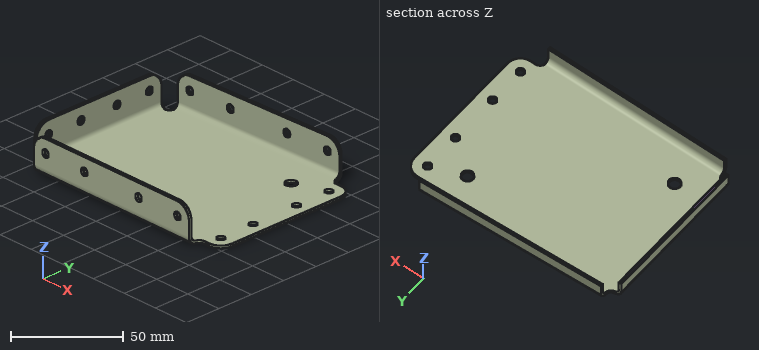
import cadquery as cq
import math

THICKNESS = 1.5
INNER_BEND_RADIUS = 3.0
OUTER_BEND_RADIUS = INNER_BEND_RADIUS + THICKNESS
HEIGHT = 20.0

OVERALL_X = 119.9
OVERALL_Y = 94.43

CORNER_GAP = 6.47
LONG_LENGTH = 100.0
LEFT_LENGTH = 77.2
TAB_LENGTH = 81.7
CORNER_RADIUS = 7.5
RELIEF_RADIUS = 3.0
BACK_TILT = 2.386

SMALL_HOLE = 4.0
LARGE_HOLE = 6.0
EDGE_INSET = 7.5
LONG_PITCH = 25.0
SHORT_PITCH = 20.0
LARGE_HOLE_CENTRES = [(20.0, 20.0), (95.0, 74.0)]

FRONT_END_X = CORNER_GAP + LONG_LENGTH
LEFT_TOP_Y = CORNER_GAP + LEFT_LENGTH
TAB_TOP_Y = CORNER_GAP + TAB_LENGTH

TILT = math.radians(BACK_TILT)
ALONG_X = math.cos(TILT)
ALONG_Y = math.sin(TILT)
OUT_X = -ALONG_Y
OUT_Y = ALONG_X
BACK_RIGHT_X = FRONT_END_X
BACK_RIGHT_Y = OVERALL_Y - OUTER_BEND_RADIUS * OUT_Y
BACK_LEFT_X = BACK_RIGHT_X - LONG_LENGTH * ALONG_X
BACK_LEFT_Y = BACK_RIGHT_Y - LONG_LENGTH * ALONG_Y


def hole_stations(length, pitch):
    """Four hole positions along an edge, symmetric about its middle."""
    return [EDGE_INSET, EDGE_INSET + pitch, length - EDGE_INSET - pitch, length - EDGE_INSET]


def back_end_x(bend_x, bend_y, y):
    """x of the point at y on an end of the back flange, which is square to its bend line."""
    return bend_x + (y - bend_y) * OUT_X / OUT_Y


def make_plan():
    """Plan outline of the bent part as a prism, with the inside corners rounded."""
    front_left = (CORNER_GAP, CORNER_GAP)
    front_right = (FRONT_END_X, CORNER_GAP)
    back_right = (back_end_x(BACK_RIGHT_X, BACK_RIGHT_Y, TAB_TOP_Y), TAB_TOP_Y)
    back_left = (back_end_x(BACK_LEFT_X, BACK_LEFT_Y, LEFT_TOP_Y), LEFT_TOP_Y)
    out_x = OUTER_BEND_RADIUS * OUT_X
    out_y = OUTER_BEND_RADIUS * OUT_Y
    outline = [
        (CORNER_GAP, 0),
        (FRONT_END_X, 0),
        front_right,
        (OVERALL_X, CORNER_GAP),
        (OVERALL_X, TAB_TOP_Y),
        back_right,
        (BACK_RIGHT_X + out_x, BACK_RIGHT_Y + out_y),
        (BACK_LEFT_X + out_x, BACK_LEFT_Y + out_y),
        back_left,
        (0, LEFT_TOP_Y),
        (0, CORNER_GAP),
        front_left,
    ]
    plan = cq.Workplane("XY").polyline(outline).close().extrude(HEIGHT)
    plan = plan.edges("|Z and >X").fillet(CORNER_RADIUS)
    for x, y in (front_left, front_right, back_right, back_left):
        corner = cq.selectors.NearestToPointSelector((x, y, HEIGHT / 2))
        plan = plan.edges(corner).fillet(RELIEF_RADIUS)
    return plan


def make_base():
    """Flat base between the bend lines, reaching to the right edge of the tab."""
    run_to_edge = (OVERALL_X - BACK_LEFT_X) / ALONG_X
    run_to_left = (BACK_LEFT_X - OUTER_BEND_RADIUS) / ALONG_X
    outline = [
        (OUTER_BEND_RADIUS, OUTER_BEND_RADIUS),
        (OVERALL_X, OUTER_BEND_RADIUS),
        (OVERALL_X, BACK_LEFT_Y + run_to_edge * ALONG_Y),
        (OUTER_BEND_RADIUS, BACK_LEFT_Y - run_to_left * ALONG_Y),
    ]
    return cq.Workplane("XY").polyline(outline).close().extrude(THICKNESS)


def make_base_holes():
    """Cutters for the tab holes and the two large holes in the base."""
    tab_centres = [
        (OVERALL_X - EDGE_INSET, CORNER_GAP + station)
        for station in hole_stations(TAB_LENGTH, SHORT_PITCH)
    ]
    small = cq.Workplane("XY").pushPoints(tab_centres).circle(SMALL_HOLE / 2).extrude(THICKNESS)
    large = cq.Workplane("XY").pushPoints(LARGE_HOLE_CENTRES).circle(LARGE_HOLE / 2).extrude(THICKNESS)
    return small.union(large)


def make_bend(length):
    """Quarter bend along +x, longer than the flange so that it reaches under the reliefs."""
    return (
        cq.Workplane("YZ")
        .workplane(offset=-RELIEF_RADIUS)
        .moveTo(0, 0)
        .radiusArc((-OUTER_BEND_RADIUS, OUTER_BEND_RADIUS), OUTER_BEND_RADIUS)
        .lineTo(-INNER_BEND_RADIUS, OUTER_BEND_RADIUS)
        .radiusArc((0, THICKNESS), -INNER_BEND_RADIUS)
        .close()
        .extrude(length + 2 * RELIEF_RADIUS)
    )


def make_flange(length, pitch):
    """Flange along +x with its bend line on y = 0, folded up on the -y side."""
    wall = cq.Workplane("XY").box(length, THICKNESS, HEIGHT - OUTER_BEND_RADIUS, centered=False)
    wall = wall.translate((0, -OUTER_BEND_RADIUS, OUTER_BEND_RADIUS))
    wall = wall.edges("|Y and >Z").fillet(CORNER_RADIUS)
    centres = [(station, HEIGHT - EDGE_INSET) for station in hole_stations(length, pitch)]
    holes = cq.Workplane("XZ").pushPoints(centres).circle(SMALL_HOLE / 2).extrude(OUTER_BEND_RADIUS)
    return wall.cut(holes).union(make_bend(length))


def place_flange(flange, start_x, start_y, angle):
    """Turn a flange about the start of its bend line and move it onto the base."""
    return flange.rotate((0, 0, 0), (0, 0, 1), angle).translate((start_x, start_y, 0))


long_flange = make_flange(LONG_LENGTH, LONG_PITCH)
left_flange = make_flange(LEFT_LENGTH, SHORT_PITCH)

plan = make_plan()
result = make_base().cut(make_base_holes()).intersect(plan)
for flange, start_x, start_y, angle in (
    (long_flange, CORNER_GAP, OUTER_BEND_RADIUS, 0),
    (long_flange, BACK_RIGHT_X, BACK_RIGHT_Y, 180 + BACK_TILT),
    (left_flange, OUTER_BEND_RADIUS, LEFT_TOP_Y, -90),
):
    result = result.union(place_flange(flange, start_x, start_y, angle).intersect(plan))